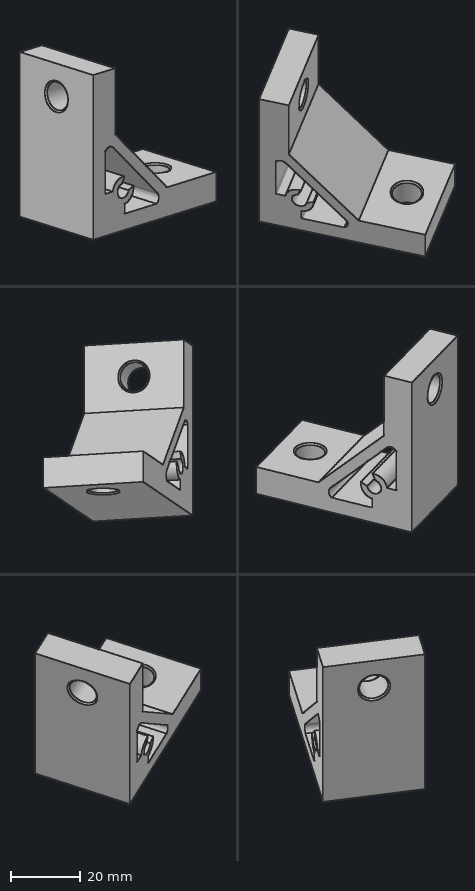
import cadquery as cq
import math

width = 30.0
leg = 50.0
leg_thickness = 9.0
brace_reach = 30.0

pocket_wall = 5.0
brace_thickness = 3.35
acute_radius = 2.0
pocket_reach = 26.7
block_size = 12.8
block_radius = 0.25

clip_center = 12.15
clip_outer_radius = 4.25
clip_bore_radius = 2.25
mouth_half_width = 1.85
mouth_half_angle = 20.0

hole_diameter = 8.5
hole_chamfer = 0.5
hole_from_end = 10.0


def extrude_profile(points):
    """Extrude a closed YZ outline across the whole width."""
    return cq.Workplane("YZ").polyline(points).close().extrude(width)


def clip_cylinder(radius):
    return cq.Workplane("YZ").center(clip_center, clip_center).circle(radius).extrude(width)


def make_bracket():
    return extrude_profile([
        (0, 0),
        (leg, 0),
        (leg, leg_thickness),
        (brace_reach, leg_thickness),
        (leg_thickness, brace_reach),
        (leg_thickness, leg),
        (0, leg),
    ])


def make_pocket():
    slope_sum = brace_reach + leg_thickness - brace_thickness * math.sqrt(2)
    arc_far = pocket_reach - acute_radius
    arc_near = slope_sum - acute_radius * math.sqrt(2) - arc_far
    wall_end = arc_far + math.sqrt(acute_radius**2 - (arc_near - pocket_wall) ** 2)
    tangent_offset = acute_radius / math.sqrt(2)
    tangent_near = arc_near + tangent_offset
    tangent_far = arc_far + tangent_offset
    pocket = (
        cq.Workplane("YZ")
        .moveTo(block_size, block_size)
        .lineTo(pocket_wall, block_size)
        .lineTo(pocket_wall, wall_end)
        .threePointArc((arc_near, pocket_reach), (tangent_near, tangent_far))
        .lineTo(tangent_far, tangent_near)
        .threePointArc((pocket_reach, arc_near), (wall_end, pocket_wall))
        .lineTo(block_size, pocket_wall)
        .close()
        .extrude(width)
    )
    for y, z in ((pocket_wall, block_size), (block_size, pocket_wall)):
        corner = cq.selectors.NearestToPointSelector((width / 2, y, z))
        pocket = pocket.edges(corner).fillet(block_radius)
    return pocket


def make_clip_mouth():
    """Bore plus a flared opening along the diagonal, starting inside the bore."""
    flare = math.tan(math.radians(mouth_half_angle))
    bore_edge = math.sqrt(clip_bore_radius**2 - mouth_half_width**2)
    outer_end = 2 * clip_outer_radius
    outer_half_width = mouth_half_width + (outer_end - bore_edge) * flare
    outline = []
    for along, across in (
        (bore_edge, -mouth_half_width),
        (outer_end, -outer_half_width),
        (outer_end, outer_half_width),
        (bore_edge, mouth_half_width),
    ):
        y = clip_center + (along - across) / math.sqrt(2)
        z = clip_center + (along + across) / math.sqrt(2)
        outline.append((y, z))
    return clip_cylinder(clip_bore_radius).union(extrude_profile(outline))


def make_bolt_hole():
    """Vertical hole through the horizontal leg, widened at both faces."""
    radius = hole_diameter / 2
    rim = radius + hole_chamfer
    return (
        cq.Workplane("XZ")
        .polyline([
            (0, 0),
            (rim, 0),
            (radius, hole_chamfer),
            (radius, leg_thickness - hole_chamfer),
            (rim, leg_thickness),
            (0, leg_thickness),
        ])
        .close()
        .revolve(360, (0, 0), (0, 1))
        .translate((width / 2, leg - hole_from_end, 0))
    )


clip_opening = make_clip_mouth()
pocket_space = make_pocket().cut(clip_cylinder(clip_outer_radius).cut(clip_opening))
bore = clip_cylinder(clip_bore_radius)

base_hole = make_bolt_hole()
wall_hole = base_hole.rotate((width / 2, 0, 0), (width / 2, 0.5, 0.5), 180)

result = make_bracket().cut(pocket_space).cut(bore).cut(base_hole).cut(wall_hole)